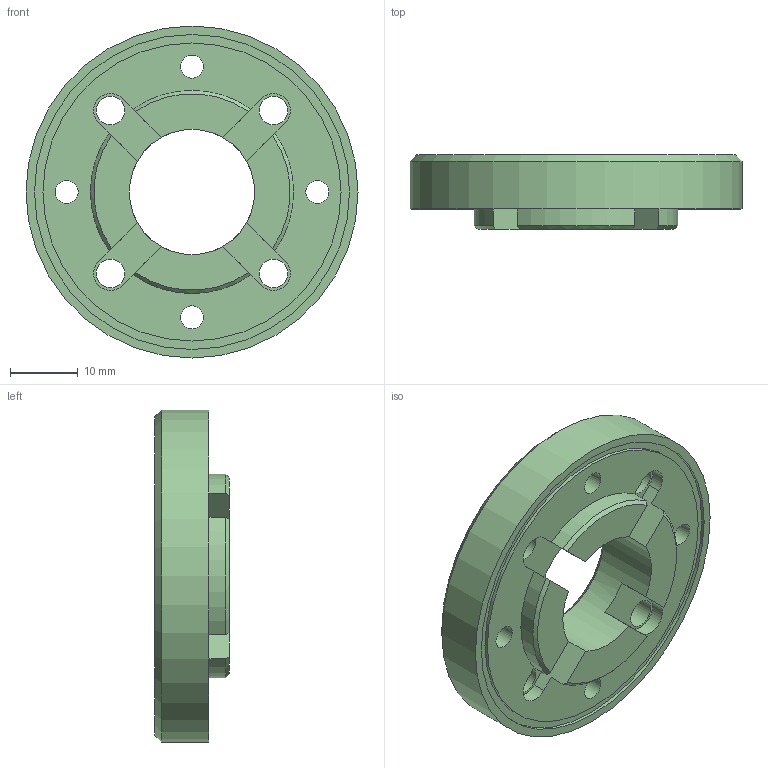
import cadquery as cq
import math

flange_thickness = 8.0
boss_height = 3.0
rim_chamfer = 1.0
bore_chamfer = 1.0
boss_chamfer = 0.5
groove_depth = 0.5
slot_depth_in_flange = 2.0

flange_diameter = 49.0
boss_diameter = 30.0
bore_diameter = 18.5
groove_outer_diameter = 46.5
groove_inner_diameter = 44.0

holes_per_circle = 4
small_hole_diameter = 3.4
small_hole_radius = 18.5
large_hole_diameter = 4.2
large_hole_radius = 17.0
slot_width = 5.0

hole_spacing = 360.0 / holes_per_circle
diagonal_angle = hole_spacing / 2
total_depth = flange_thickness + boss_height


def cylinder(diameter, start_y, length):
    """Cylinder on the Y axis running from start_y toward +Y."""
    plane = cq.Plane(origin=(0, start_y, 0), xDir=(1, 0, 0), normal=(0, 1, 0))
    return cq.Workplane(plane).circle(diameter / 2).extrude(length)


def make_body():
    """Flange with a chamfered back rim and a chamfered boss on its front face."""
    flange = cylinder(flange_diameter, 0, flange_thickness).faces(">Y").edges().chamfer(rim_chamfer)
    boss = cylinder(boss_diameter, -boss_height, boss_height).faces("<Y").edges().chamfer(boss_chamfer)
    return flange.union(boss)


def make_bore():
    """Through bore that widens in a chamfer at the back face of the flange."""
    bore = cylinder(bore_diameter, -boss_height, total_depth)
    mouth = cq.Solid.makeCone(
        bore_diameter / 2,
        bore_diameter / 2 + bore_chamfer,
        bore_chamfer,
        pnt=cq.Vector(0, flange_thickness - bore_chamfer, 0),
        dir=cq.Vector(0, 1, 0),
    )
    return bore.union(cq.Workplane(mouth))


def make_groove():
    """Shallow ring cut into the front face of the flange."""
    outer = cylinder(groove_outer_diameter, 0, groove_depth)
    inner = cylinder(groove_inner_diameter, 0, groove_depth)
    return outer.cut(inner)


def make_holes(diameter, circle_radius, start_angle):
    """Through holes evenly spaced on a circle about the Y axis."""
    hole = cylinder(diameter, -boss_height, total_depth)
    holes = cq.Workplane()
    for index in range(holes_per_circle):
        angle = math.radians(start_angle + index * hole_spacing)
        x = circle_radius * math.cos(angle)
        z = circle_radius * math.sin(angle)
        holes = holes.add(hole.translate((x, 0, z)))
    return holes.combine()


def make_slots():
    """Radial slots from the bore to round ends centred on the large holes."""
    depth = boss_height + slot_depth_in_flange
    straight = cq.Workplane().box(large_hole_radius, depth, slot_width, centered=(False, False, True))
    straight = straight.translate((0, -boss_height, 0))
    round_end = cylinder(slot_width, -boss_height, depth).translate((large_hole_radius, 0, 0))
    slot = straight.union(round_end)
    slots = cq.Workplane()
    for index in range(holes_per_circle):
        angle = diagonal_angle + index * hole_spacing
        slots = slots.add(slot.rotate((0, 0, 0), (0, 1, 0), angle))
    return slots.combine()


result = (
    make_body()
    .cut(make_bore())
    .cut(make_groove())
    .cut(make_slots())
    .cut(make_holes(small_hole_diameter, small_hole_radius, 0))
    .cut(make_holes(large_hole_diameter, large_hole_radius, diagonal_angle))
)